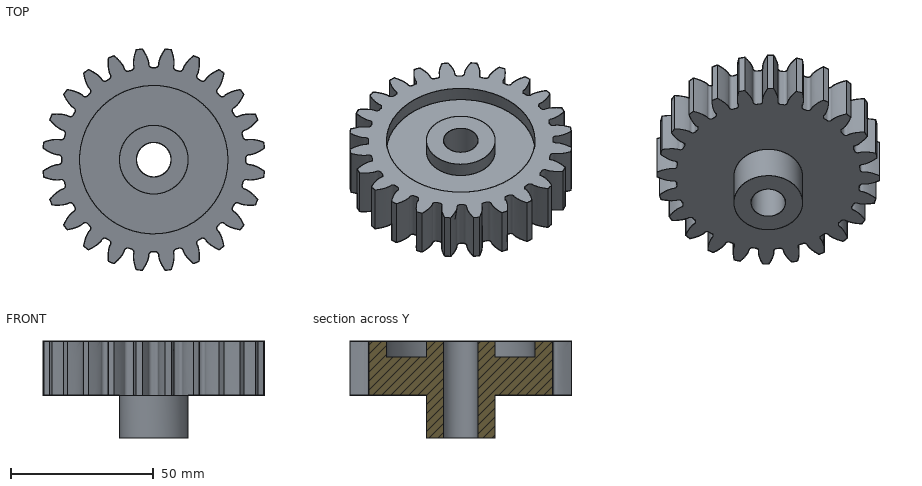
import cadquery as cq
import math

overall_width = 77.6
tooth_count = 24
pressure_angle = math.radians(20)
addendum_factor = 1.0
dedendum_factor = 1.25
root_fillet_factor = 0.38
flank_points = 7

face_width = 19.0
hub_length = 15.0
hub_diameter = 24.05
bore_diameter = 12.0
recess_diameter = 52.0
recess_depth = 5.5
cut_margin = 0.8

total_height = hub_length + face_width


def involute(angle):
    """Involute function of a pressure angle, in radians."""
    return math.tan(angle) - angle


def gap_half_angle(radius_over_base):
    """Half the angle across a tooth gap where the radius is this multiple of the base radius."""
    local_pressure_angle = math.acos(1 / radius_over_base)
    quarter_pitch = math.pi / (2 * tooth_count)
    return quarter_pitch - involute(pressure_angle) + involute(local_pressure_angle)


tip_over_pitch = 1 + 2 * addendum_factor / tooth_count
tip_gap_angle = gap_half_angle(tip_over_pitch / math.cos(pressure_angle))
tip_radius = overall_width / 2 / math.cos(tip_gap_angle)
pitch_radius = tip_radius / tip_over_pitch
module = 2 * pitch_radius / tooth_count
base_radius = pitch_radius * math.cos(pressure_angle)
root_radius = pitch_radius - dedendum_factor * module


def polar_point(radius, angle):
    return (radius * math.cos(angle), radius * math.sin(angle))


def gap_flank():
    """Points of the involute flank on the +Y side of the gap along +X, from base circle to tip circle."""
    points = []
    radius_range = tip_radius - base_radius
    for i in range(flank_points):
        radius = base_radius + radius_range * (i / (flank_points - 1)) ** 2
        points.append(polar_point(radius, gap_half_angle(radius / base_radius)))
    return points


def make_tooth_gap():
    """Solid that fills the tooth gap along +X: rounded root, radial sides, involute flanks."""
    upper_flank = gap_flank()
    lower_flank = [(x, -y) for x, y in reversed(upper_flank)]
    root_angle = gap_half_angle(1.0)
    outer_radius = tip_radius + cut_margin
    gap = (
        cq.Workplane("XY", origin=(0, 0, hub_length))
        .moveTo(*polar_point(root_radius, root_angle))
        .lineTo(*upper_flank[0])
        .spline(upper_flank[1:], includeCurrent=True)
        .lineTo(*polar_point(outer_radius, tip_gap_angle))
        .lineTo(*polar_point(outer_radius, -tip_gap_angle))
        .lineTo(*lower_flank[0])
        .spline(lower_flank[1:], includeCurrent=True)
        .lineTo(*polar_point(root_radius, -root_angle))
        .threePointArc((root_radius, 0), polar_point(root_radius, root_angle))
        .close()
        .extrude(face_width)
    )
    return gap.edges("|Z").edges("<X").fillet(root_fillet_factor * module)


def cylinder(diameter, bottom, height):
    return cq.Workplane("XY", origin=(0, 0, bottom)).circle(diameter / 2).extrude(height)


gear = cylinder(2 * tip_radius, hub_length, face_width)
tooth_gap = make_tooth_gap()
for i in range(tooth_count):
    gear = gear.cut(tooth_gap.rotate((0, 0, 0), (0, 0, 1), i * 360 / tooth_count))

gear = gear.cut(cylinder(recess_diameter, total_height - recess_depth, recess_depth))
gear = gear.union(cylinder(hub_diameter, 0, total_height))

result = gear.cut(cylinder(bore_diameter, 0, total_height))